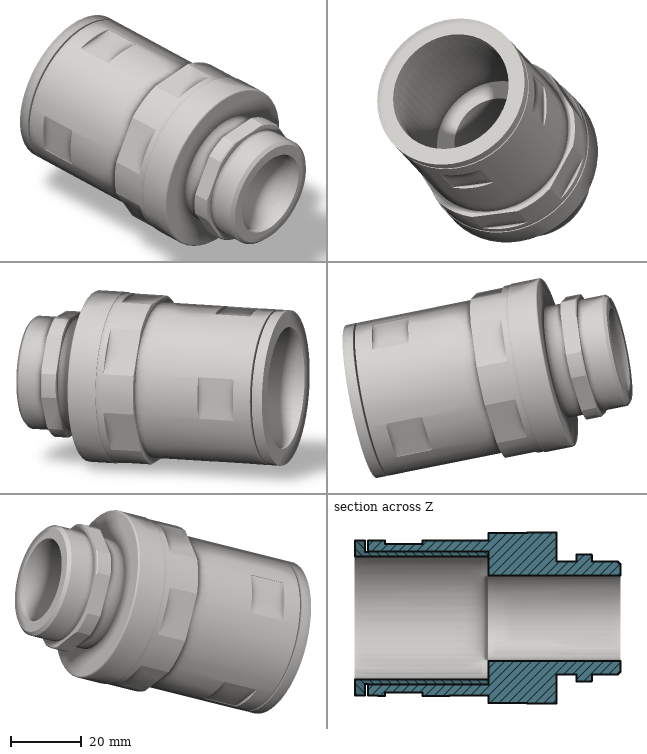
import cadquery as cq
import math


overall_length = 75.0
rim_length = 3.0
rim_gap = 0.6
collar_start = 37.6
collar_flat_length = 8.9
flange_start = 48.6
flange_end = 57.0
hex_start = 62.4
hex_length = 4.5

conduit_bore = 34.5
liner_diameter = 37.3
passage_bore = 24.0
sleeve_diameter = 44.0
collar_diameter = 48.0
flange_diameter = 48.48
thread_diameter = 32.0
thread_tip_diameter = 30.16
hex_corner_diameter = 36.0

collar_across_flats = 46.0
hex_across_flats = 34.0

pocket_count = 4
pocket_start = 8.6
pocket_length = 10.5
pocket_width = 12.0
pocket_corner_radius = 0.5
pocket_floor_radius = 21.0

flange_round = 0.5
hex_chamfer = 0.3

socket_depth = collar_start
sleeve_start = rim_length + rim_gap


def cylinder(start, end, diameter):
    """Solid cylinder on the X axis between two X positions."""
    return cq.Workplane("YZ").workplane(offset=start).circle(diameter / 2).extrude(end - start)


def hex_prism(start, end, across_flats):
    """Hexagonal prism on the X axis with one pair of flats facing up and down."""
    corner_diameter = across_flats / math.cos(math.pi / 6)
    return cq.Workplane("YZ").workplane(offset=start).polygon(6, corner_diameter).extrude(end - start)


def make_collar():
    """Round collar with six wrench flats that stop short of the flange."""
    flats_end = collar_start + collar_flat_length
    flat_section = cylinder(collar_start, flats_end, collar_diameter)
    flat_section = flat_section.intersect(hex_prism(collar_start, flats_end, collar_across_flats))
    return flat_section.union(cylinder(flats_end, flange_start, collar_diameter))


def make_flange():
    """Flange disc with its rim rounded on the thread side."""
    return cylinder(flange_start, flange_end, flange_diameter).edges(">X").fillet(flange_round)


def make_hex():
    """Thin hexagon with turned corners, chamfered on the side of the thread tip."""
    hex_end = hex_start + hex_length
    blank = cylinder(hex_start, hex_end, hex_corner_diameter).edges(">X").chamfer(hex_chamfer)
    return blank.intersect(hex_prism(hex_start, hex_end, hex_across_flats))


def make_thread():
    """Plain thread cylinder, chamfered down to the thread's minor diameter at its tip."""
    tip_chamfer = (thread_diameter - thread_tip_diameter) / 2
    return cylinder(flange_end, overall_length, thread_diameter).edges(">X").chamfer(tip_chamfer)


def make_pocket(angle):
    """Cutter for one flat-bottomed grip pocket, turned about X by the angle in degrees."""
    pocket_depth = sleeve_diameter / 2 - pocket_floor_radius
    return (
        cq.Workplane("XY")
        .box(pocket_length, pocket_width, pocket_depth, centered=(False, True, False))
        .edges("|Z")
        .fillet(pocket_corner_radius)
        .translate((pocket_start, 0, pocket_floor_radius))
        .rotate((0, 0, 0), (1, 0, 0), angle)
    )


def make_housing():
    housing = cylinder(sleeve_start, collar_start, sleeve_diameter)
    for section in (make_collar(), make_flange(), make_thread(), make_hex()):
        housing = housing.union(section)
    for index in range(pocket_count):
        housing = housing.cut(make_pocket(index * 360 / pocket_count))
    housing = housing.cut(cylinder(sleeve_start, socket_depth, liner_diameter))
    return housing.cut(cylinder(socket_depth, overall_length, passage_bore))


def make_liner():
    """Tube lining the housing socket, with a rim that stands clear of the sleeve end."""
    rim = cylinder(0, rim_length, sleeve_diameter)
    tube = cylinder(rim_length, socket_depth, liner_diameter)
    return rim.union(tube).cut(cylinder(0, socket_depth, conduit_bore))


housing = make_housing()
liner = make_liner()
result = cq.Compound.makeCompound([housing.val(), liner.val()])